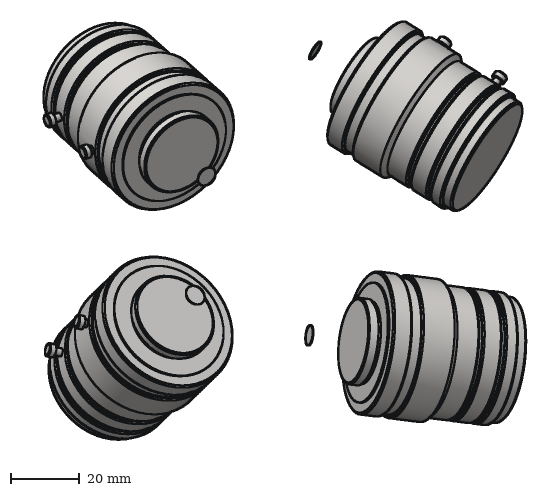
import cadquery as cq

FRONT_DIAMETER = 37.0
FRONT_RING_DIAMETER = 39.0
REAR_RING_DIAMETER = 42.0
REAR_GROOVE_DIAMETER = 40.0
FLANGE_PAD_DIAMETER = 35.2
RIM_CHAMFER = 0.5

FIRST_RING = (3.0, 7.0)
SECOND_RING = (8.0, 14.0)
THIRD_RING = (15.0, 22.0)
MIDDLE_RING = (THIRD_RING[1], 33.5)
REAR_RING = (36.5, 42.5)

CONE_LENGTH = (REAR_RING_DIAMETER - FRONT_RING_DIAMETER) / 2

OVERALL_LENGTH = 60.78
FLANGE_FOCAL_DISTANCE = 17.526
SENSOR_DIAMETER = 6.0
SENSOR_THICKNESS = 0.25
SENSOR_X = OVERALL_LENGTH - SENSOR_THICKNESS
FLANGE_X = SENSOR_X - FLANGE_FOCAL_DISTANCE

RELIEF_DIAMETER = 24.37
RELIEF_LENGTH = 0.7
THREAD_DIAMETER = 25.4
MOUNT_LENGTH = 4.0
THREAD_START = FLANGE_X + RELIEF_LENGTH
THREAD_END = FLANGE_X + MOUNT_LENGTH
THREAD_CHAMFER_LENGTH = 0.3
THREAD_CHAMFER_DEPTH = (THREAD_DIAMETER - RELIEF_DIAMETER) / 2

FOCUS_SCREW_X = 11.5
IRIS_SCREW_X = 31.03
SCREW_SHANK_DIAMETER = 2.5
SCREW_SHANK_LENGTH = 2.4
SCREW_HEAD_DIAMETER = 4.0
SCREW_HEAD_HEIGHT = 2.0
SCREW_HEAD_CHAMFER = 0.3
SCREW_TOP_Y = -24.15


def disc(diameter, start, end):
    """Plain cylinder on the optical axis between two stations."""
    return cq.Workplane("YZ", origin=(start, 0, 0)).circle(diameter / 2).extrude(end - start)


def ring(diameter, span, front_chamfer=0.0, rear_chamfer=0.0):
    """Cylinder on the optical axis with optional 45 degree chamfers on its rims."""
    start, end = span
    body = disc(diameter, start, end)
    if front_chamfer:
        body = body.faces("<X").chamfer(front_chamfer)
    if rear_chamfer:
        body = body.faces(">X").chamfer(rear_chamfer)
    return body


def front_section():
    """Front tube with its three raised rings, separated by narrow grooves."""
    body = ring(FRONT_DIAMETER, (0.0, THIRD_RING[1]), RIM_CHAMFER)
    for span in (FIRST_RING, SECOND_RING):
        body = body.union(ring(FRONT_RING_DIAMETER, span, RIM_CHAMFER, RIM_CHAMFER))
    return body.union(ring(FRONT_RING_DIAMETER, THIRD_RING, RIM_CHAMFER))


def rear_section():
    """Two large rings with a wide groove between them, and the flange pad."""
    body = ring(REAR_RING_DIAMETER, MIDDLE_RING, CONE_LENGTH, RIM_CHAMFER)
    body = body.union(disc(REAR_GROOVE_DIAMETER, MIDDLE_RING[1], REAR_RING[0]))
    body = body.union(ring(REAR_RING_DIAMETER, REAR_RING, RIM_CHAMFER, RIM_CHAMFER))
    return body.union(disc(FLANGE_PAD_DIAMETER, REAR_RING[1], FLANGE_X))


def mount():
    """Thread cylinder, chamfered down to the relief diameter at both ends."""
    relief = disc(RELIEF_DIAMETER, FLANGE_X, THREAD_START)
    thread = disc(THREAD_DIAMETER, THREAD_START, THREAD_END)
    thread = thread.faces("<X or >X").chamfer(THREAD_CHAMFER_LENGTH, THREAD_CHAMFER_DEPTH)
    return relief.union(thread)


def screw(x):
    """Screw with its head outermost and its shank pointing at the optical axis."""
    plane = cq.Workplane("XZ", origin=(x, SCREW_TOP_Y + SCREW_HEAD_HEIGHT, 0))
    head = plane.circle(SCREW_HEAD_DIAMETER / 2).extrude(SCREW_HEAD_HEIGHT)
    head = head.faces("<Y").chamfer(SCREW_HEAD_CHAMFER)
    shank = plane.circle(SCREW_SHANK_DIAMETER / 2).extrude(-SCREW_SHANK_LENGTH)
    return head.union(shank)


lens = front_section().union(rear_section()).union(mount()).union(screw(IRIS_SCREW_X))
focus_screw = screw(FOCUS_SCREW_X)
sensor = disc(SENSOR_DIAMETER, SENSOR_X, OVERALL_LENGTH)

bodies = [body.solids().val() for body in (lens, focus_screw, sensor)]
result = cq.Compound.makeCompound(bodies)